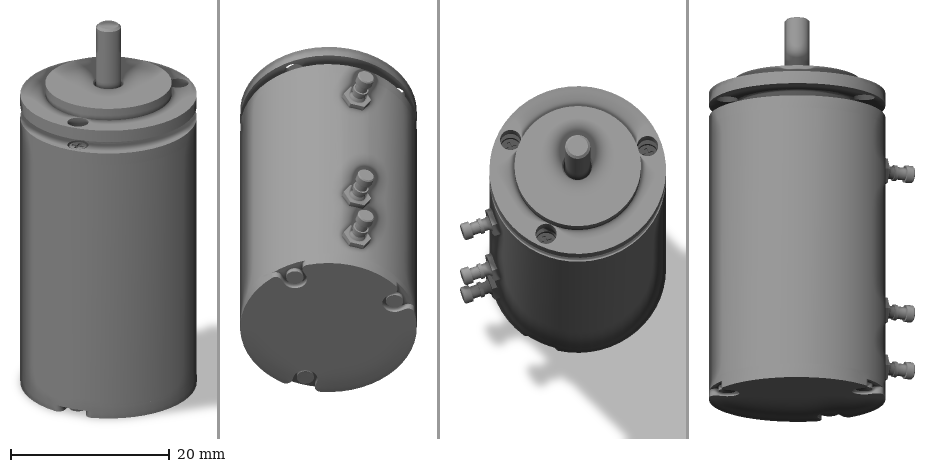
import cadquery as cq
import math

total_height = 49.45
rear_cover_height = 1.8
plate_thickness = 1.6
tube_top = 35.1
lower_plate_top = tube_top + plate_thickness
neck_top = lower_plate_top + plate_thickness
upper_plate_top = neck_top + plate_thickness
flange_top = upper_plate_top + plate_thickness

body_radius = 11.15
pilot_radius = 7.95
neck_fillet = 0.25
shaft_radius = 1.6
shaft_chamfer = 0.3
bore_radius = 1.8
bore_chamfer = 0.2

screw_circle_radius = 9.35
screw_angles = (45.0, 135.0, 270.0)
screw_head_radius = 1.1
access_hole_radius = 1.35
front_recess_depth = 0.5
front_head_sink = 0.1
cross_length = 1.6
cross_width = 0.4
cross_depth = 0.25

notch_half_width = 1.55
notch_depth = 0.9
notch_rim_fillet = 0.8
rear_head_sink = 0.3

terminal_heights = (5.05, 12.45, 30.6)
hex_across_flats = 3.15
hex_root = 10.4
hex_face = 11.75
cone_end = 12.15
collar_start = 12.75
collar_end = 13.2
cap_start = 14.35
terminal_tip = 15.45
cone_radius = 1.05
stem_radius = 0.8
collar_radius = 1.0
cap_radius = 1.1
cap_chamfer = 0.15


def disc(radius, bottom, top):
    """Cylinder on the motor axis between two heights."""
    return cq.Workplane("XY").workplane(offset=bottom).circle(radius).extrude(top - bottom)


def at_screw(shape, angle):
    """Move a shape built on the motor axis out to a screw position, +X turned outward."""
    return shape.translate((screw_circle_radius, 0, 0)).rotate((0, 0, 0), (0, 0, 1), angle)


def make_shaft():
    return disc(shaft_radius, tube_top, total_height).faces(">Z").chamfer(shaft_chamfer)


def make_cross_head():
    """Front screw head standing on the floor of its recess, with an axis-aligned cross."""
    head_top = lower_plate_top - front_head_sink
    head = disc(screw_head_radius, lower_plate_top - front_recess_depth, head_top)
    slot_plane = cq.Workplane("XY").workplane(offset=head_top)
    for length, width in ((cross_length, cross_width), (cross_width, cross_length)):
        head = head.cut(slot_plane.rect(length, width).extrude(-cross_depth))
    return head


def make_front_flange():
    """Two plates joined by a filleted neck, a centring boss, a shaft bore and three screws."""
    flange = (
        cq.Workplane("XZ")
        .moveTo(0, tube_top)
        .lineTo(body_radius, tube_top)
        .lineTo(body_radius, lower_plate_top)
        .lineTo(pilot_radius + neck_fillet, lower_plate_top)
        .radiusArc((pilot_radius, lower_plate_top + neck_fillet), neck_fillet)
        .lineTo(pilot_radius, neck_top - neck_fillet)
        .radiusArc((pilot_radius + neck_fillet, neck_top), neck_fillet)
        .lineTo(body_radius, neck_top)
        .lineTo(body_radius, upper_plate_top)
        .lineTo(pilot_radius, upper_plate_top)
        .lineTo(pilot_radius, flange_top)
        .lineTo(0, flange_top)
        .close()
        .revolve(360, (0, 0, 0), (0, 1, 0))
    )

    access = disc(access_hole_radius, lower_plate_top - front_recess_depth, upper_plate_top)
    head = make_cross_head()
    for angle in screw_angles:
        flange = flange.cut(at_screw(access, angle))
        upright_head = head.rotate((0, 0, 0), (0, 0, 1), -angle)
        flange = flange.union(at_screw(upright_head, angle))

    bore = disc(bore_radius, tube_top, flange_top)
    bore_mouth = cq.Workplane(
        cq.Solid.makeCone(
            bore_radius,
            bore_radius + bore_chamfer,
            bore_chamfer,
            pnt=cq.Vector(0, 0, flange_top - bore_chamfer),
        )
    )
    return flange.cut(bore).cut(bore_mouth)


def make_terminal(height):
    """Turned solder post with a hexagonal base, pointing along +Y."""
    post = (
        cq.Workplane("XY")
        .moveTo(0, hex_root)
        .lineTo(cone_radius, hex_root)
        .lineTo(cone_radius, hex_face)
        .lineTo(stem_radius, cone_end)
        .lineTo(stem_radius, collar_start)
        .lineTo(collar_radius, collar_start)
        .lineTo(collar_radius, collar_end)
        .lineTo(stem_radius, collar_end)
        .lineTo(stem_radius, cap_start)
        .lineTo(cap_radius, cap_start)
        .lineTo(cap_radius, terminal_tip - cap_chamfer)
        .lineTo(cap_radius - cap_chamfer, terminal_tip)
        .lineTo(0, terminal_tip)
        .close()
        .revolve(360, (0, 0, 0), (0, 1, 0))
    )
    hex_across_corners = hex_across_flats / math.cos(math.pi / 6)
    hex_base = (
        cq.Workplane("XZ", origin=(0, hex_root, 0))
        .polygon(6, hex_across_corners)
        .extrude(hex_root - hex_face)
    )
    return post.union(hex_base).translate((0, 0, height))


def make_tube():
    """Cylindrical housing with its row of terminals."""
    tube = disc(body_radius, rear_cover_height, tube_top)
    for height in terminal_heights:
        tube = tube.union(make_terminal(height))
    return tube


def make_notch():
    """U-shaped notch around a screw, rounded outward where it meets the rim.

    Built with the motor axis at the origin and the screw on +X.
    """
    round_y = notch_half_width + notch_rim_fillet
    round_x = math.sqrt((body_radius - notch_rim_fillet) ** 2 - round_y ** 2)
    rim_scale = body_radius / (body_radius - notch_rim_fillet)
    rim_x = round_x * rim_scale
    rim_y = round_y * rim_scale
    outside = body_radius + notch_rim_fillet
    return (
        cq.Workplane("XY")
        .moveTo(outside, -rim_y)
        .lineTo(rim_x, -rim_y)
        .radiusArc((round_x, -notch_half_width), -notch_rim_fillet)
        .lineTo(screw_circle_radius, -notch_half_width)
        .threePointArc(
            (screw_circle_radius - notch_half_width, 0),
            (screw_circle_radius, notch_half_width),
        )
        .lineTo(round_x, notch_half_width)
        .radiusArc((rim_x, rim_y), -notch_rim_fillet)
        .lineTo(outside, rim_y)
        .close()
        .extrude(notch_depth)
    )


def make_rear_cover():
    """Disc closing the tube, with three notched screw seats on its underside."""
    cover = disc(body_radius, 0, rear_cover_height)
    notch = make_notch()
    head = disc(screw_head_radius, rear_head_sink, notch_depth)
    for angle in screw_angles:
        cover = cover.cut(notch.rotate((0, 0, 0), (0, 0, 1), angle))
        cover = cover.union(at_screw(head, angle))
    return cover


shaft = make_shaft()
front_flange = make_front_flange()
tube = make_tube()
rear_cover = make_rear_cover()

result = cq.Compound.makeCompound([shaft.val(), front_flange.val(), tube.val(), rear_cover.val()])